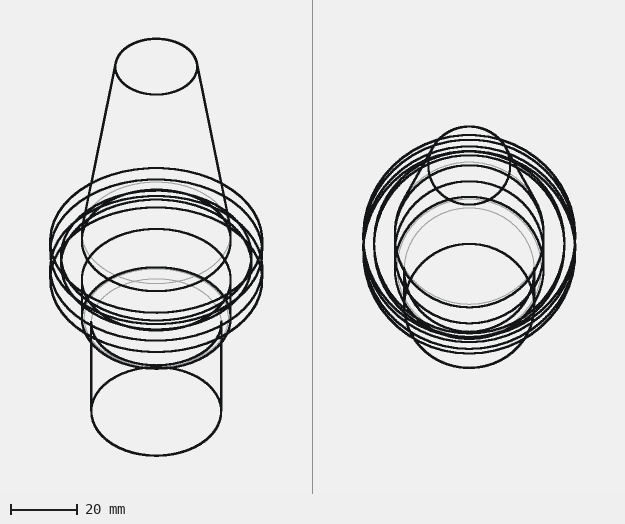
import cadquery as cq
import math

total_height = 141.2
collar_bottom = 38.3
collar_top = 54.0
flange_top = 70.0
rim_height = 4.7
groove_chamfer_height = 1.5
gauge_band_height = 3.1

nose_diameter = 39.0
collar_diameter = 44.6
flange_diameter = 63.5
groove_diameter = 57.0
taper_small_diameter = 24.6

nose_fillet_radius = 2.1

lower_rim_top = collar_top + rim_height
upper_rim_bottom = flange_top - rim_height
gauge_band_top = flange_top + gauge_band_height

nose_radius = nose_diameter / 2
fillet_bottom = collar_bottom - nose_fillet_radius
fillet_outer_radius = nose_radius + nose_fillet_radius
fillet_inset = nose_fillet_radius * (1 - math.cos(math.pi / 4))
fillet_middle = (nose_radius + fillet_inset, collar_bottom - fillet_inset)

upper_section = [
    (collar_diameter, collar_bottom),
    (collar_diameter, collar_top),
    (flange_diameter, collar_top),
    (flange_diameter, lower_rim_top),
    (groove_diameter, lower_rim_top + groove_chamfer_height),
    (groove_diameter, upper_rim_bottom - groove_chamfer_height),
    (flange_diameter, upper_rim_bottom),
    (flange_diameter, flange_top),
    (collar_diameter, flange_top),
    (collar_diameter, gauge_band_top),
    (taper_small_diameter, total_height),
    (0, total_height),
]
upper_points = [(diameter / 2, height) for diameter, height in upper_section]

result = (
    cq.Workplane("XZ")
    .lineTo(nose_radius, 0)
    .lineTo(nose_radius, fillet_bottom)
    .threePointArc(fillet_middle, (fillet_outer_radius, collar_bottom))
    .polyline(upper_points, includeCurrent=True)
    .close()
    .revolve(360, (0, 0, 0), (0, 1, 0))
)